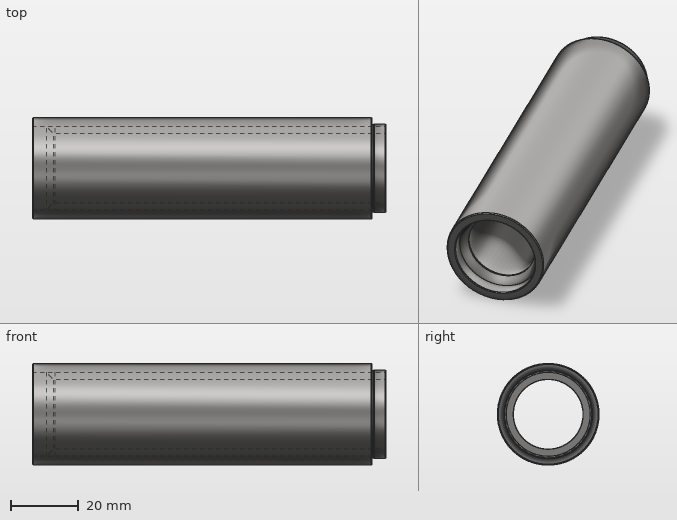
import cadquery as cq

tube_length = 100.0
tube_radius = 15.0
tube_chamfer = 0.3
spigot_length = 4.0
spigot_radius = 13.1
spigot_chamfer = 0.25
relief_width = 0.4
relief_depth = spigot_chamfer
total_length = tube_length + spigot_length

bore_radius = 12.35
mouth_depth = 4.0
mouth_chamfer = 0.25

passage_radius = 10.25
ring_land = 0.5
ring_length = bore_radius - passage_radius + ring_land
liner_start = mouth_depth + ring_length


def cylinder(radius, start, end):
    """Solid cylinder along X between two stations."""
    return cq.Workplane("YZ", origin=(start, 0, 0)).circle(radius).extrude(end - start)


def cone(start_radius, end_radius, start, end):
    """Solid frustum along X between two stations."""
    outline = [(start, 0), (start, start_radius), (end, end_radius), (end, 0)]
    return cq.Workplane("XY").polyline(outline).close().revolve(360, (0, 0, 0), (1, 0, 0))


def make_tube():
    """Outer tube with a spigot at the far end, bored right through."""
    barrel = cylinder(tube_radius, 0, tube_length).faces("<X or >X").chamfer(tube_chamfer)
    relief = cylinder(spigot_radius - relief_depth, tube_length, tube_length + relief_width)
    spigot = cylinder(spigot_radius, tube_length + relief_width, total_length)
    spigot = spigot.faces("<X or >X").chamfer(spigot_chamfer)
    tube = barrel.union(relief).union(spigot)
    tube = tube.cut(cylinder(bore_radius, 0, total_length))
    return tube.cut(cone(bore_radius + mouth_chamfer, bore_radius, 0, mouth_chamfer))


def make_ring():
    """Ring behind the mouth with a 45 degree funnel and a short land."""
    ring = cylinder(bore_radius, mouth_depth, liner_start)
    ring = ring.cut(cylinder(passage_radius, mouth_depth, liner_start))
    return ring.cut(cone(bore_radius, passage_radius, mouth_depth, liner_start - ring_land))


def make_liner():
    """Plain sleeve from the ring to the end of the spigot."""
    liner = cylinder(bore_radius, liner_start, total_length)
    return liner.cut(cylinder(passage_radius, liner_start, total_length))


tube = make_tube()
ring = make_ring()
liner = make_liner()

result = cq.Compound.makeCompound([tube.val(), ring.val(), liner.val()])